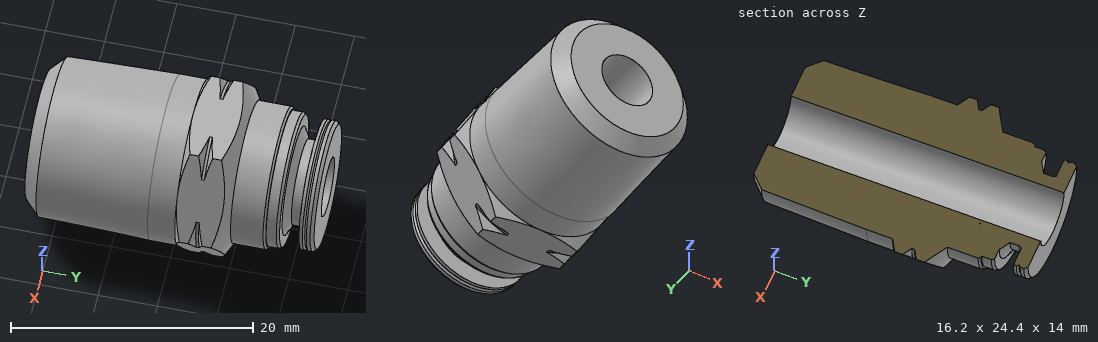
import cadquery as cq
import math

overall_length = 24.4
bore_diameter = 5.0

tip_chamfer = 1.22
thread_front_radius = 6.75
thread_end = 10.69
shank_radius = 7.0
tip_radius = thread_front_radius - tip_chamfer

hex_front = 13.0
hex_corner_radius = shank_radius / math.cos(math.radians(30))
cone_slope = math.tan(math.radians(30))

groove_center = 14.95
groove_floor_radius = 7.27
groove_floor_width = 0.25

body_front = 17.5
body_radius = 6.03
body_rear = 20.45
body_chamfer_length = 0.2
step_radius = 5.73
step_rear = 21.55
step_chamfer_length = 0.25
step_chamfer_depth = 0.15
neck_cone_radius = 4.6
neck_radius = 3.64
neck_front = 22.1

collar_front = 23.15
collar_radius = 5.51
collar_rear_chamfer_length = 0.3
collar_rear_chamfer_depth = 0.25
rim_groove_center = 23.62
rim_groove_half_width = 0.17
rim_groove_depth = 0.17
neck_flare_length = 0.25
neck_flare = 0.12


def revolve_profile(points):
    """Revolve an outline of (radius, Y) points about the Y axis."""
    return cq.Workplane("XY").polyline(points).close().revolve(360, (0, 0, 0), (0, 1, 0))


def make_turned_body():
    body_edge_radius = (body_radius + step_radius) / 2
    return revolve_profile([
        (0, 0),
        (tip_radius, 0),
        (thread_front_radius, tip_chamfer),
        (shank_radius, thread_end),
        (shank_radius, hex_front),
        (body_radius, hex_front),
        (body_radius, body_rear - body_chamfer_length),
        (body_edge_radius, body_rear),
        (step_radius, body_rear),
        (step_radius, step_rear - step_chamfer_length),
        (step_radius - step_chamfer_depth, step_rear),
        (neck_cone_radius, step_rear),
        (neck_radius, neck_front),
        (neck_radius, collar_front - neck_flare_length),
        (neck_radius + neck_flare, collar_front),
        (collar_radius, collar_front),
        (collar_radius, rim_groove_center - rim_groove_half_width),
        (collar_radius - rim_groove_depth, rim_groove_center),
        (collar_radius, rim_groove_center + rim_groove_half_width),
        (collar_radius, overall_length - collar_rear_chamfer_length),
        (collar_radius - collar_rear_chamfer_depth, overall_length),
        (0, overall_length),
    ])


def make_hexagon():
    """Hexagon with both ends coned off and a groove cut around its corners."""
    prism = (
        cq.Workplane("XZ", origin=(0, body_front, 0))
        .polygon(6, 2 * hex_corner_radius)
        .extrude(body_front - hex_front)
    )
    cone_limit = hex_corner_radius + 0.25
    coned_envelope = revolve_profile([
        (0, hex_front),
        (shank_radius, hex_front),
        (cone_limit, hex_front + (cone_limit - shank_radius) * cone_slope),
        (cone_limit, body_front - (cone_limit - body_radius) * cone_slope),
        (body_radius, body_front),
        (0, body_front),
    ])
    floor_half_width = groove_floor_width / 2
    mouth_half_width = floor_half_width + (cone_limit - groove_floor_radius) * cone_slope
    groove = revolve_profile([
        (groove_floor_radius, groove_center - floor_half_width),
        (cone_limit, groove_center - mouth_half_width),
        (cone_limit, groove_center + mouth_half_width),
        (groove_floor_radius, groove_center + floor_half_width),
    ])
    return prism.intersect(coned_envelope).cut(groove)


bore = cq.Workplane("XZ").circle(bore_diameter / 2).extrude(-overall_length)
result = make_turned_body().union(make_hexagon()).cut(bore)